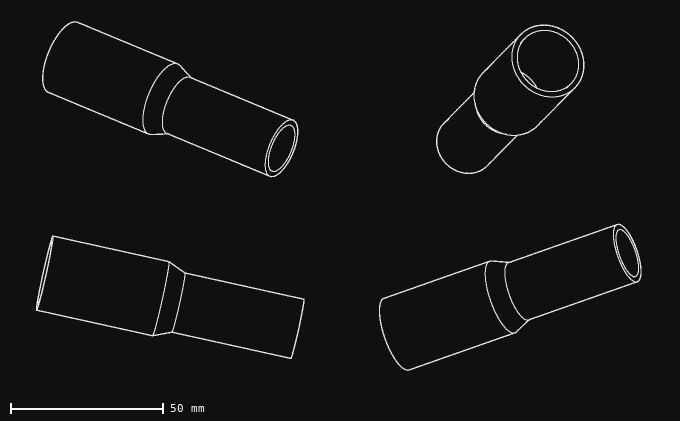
import cadquery as cq

total_length = 85.0
large_outer_diameter = 25.0
small_outer_diameter = 20.0
wall = 1.9
large_length = 39.0
taper_length = 5.95

large_radius = large_outer_diameter / 2
small_radius = small_outer_diameter / 2
taper_end = large_length + taper_length


def stepped_body(inset):
    """Solid of revolution about X, with every radius reduced by inset."""
    large = large_radius - inset
    small = small_radius - inset
    return (
        cq.Workplane("XY")
        .moveTo(0, 0)
        .lineTo(0, large)
        .lineTo(large_length, large)
        .lineTo(taper_end, small)
        .lineTo(total_length, small)
        .lineTo(total_length, 0)
        .close()
        .revolve(360, (0, 0, 0), (1, 0, 0))
    )


sleeve = stepped_body(0).cut(stepped_body(wall))

result = sleeve.translate((-total_length / 2, 0, 0))